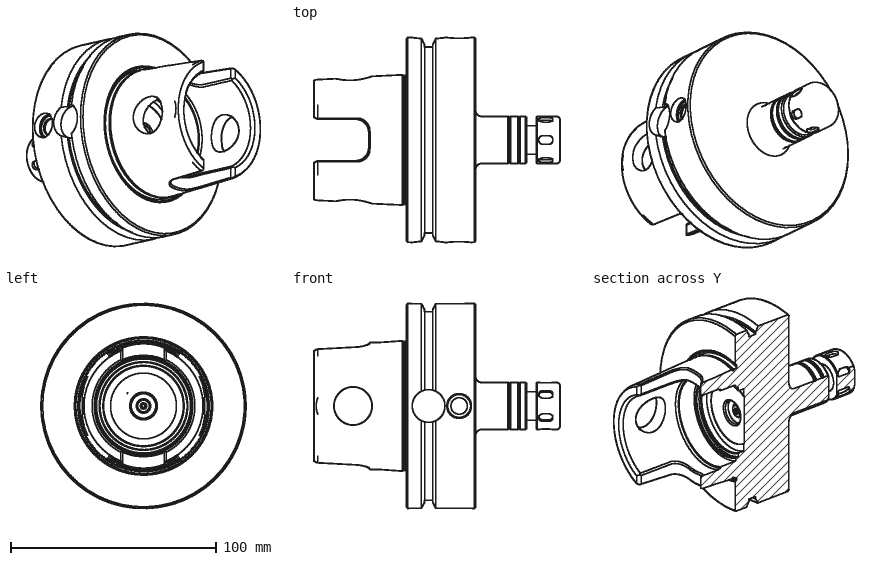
import cadquery as cq
import math

total_length = 120.0
slot_end_x = 26.6
taper_end_x = 43.0
flange_x = 45.0
flange_end_x = 79.0
neck_end_x = 103.8
nut_x = 108.5

taper_radius = 31.8
taper_slope = 1 / 20
tip_allowance = 2.4
tip_chamfer_length = 1.9
tip_chamfer_depth = 0.7
relief_radius = 31.5
taper_relief_length = 0.8
root_groove_radius = 31.1
root_groove_width = 0.5
root_radius = 32.0

flange_radius = 100.0 / 2
flange_chamfer = 0.8
face_recess_radius = 33.0
face_recess_depth = 1.2
face_step_radius = 33.7
face_step_depth = 0.5
groove_center_x = 55.9
groove_floor_width = 4.0
groove_top_width = 7.0
groove_shoulder_radius = 47.2
groove_floor_radius = 46.1

neck_radius = 23.0 / 2
neck_fillet = 3.0
neck_fillet_end_x = 81.8
neck_chamfer = 0.7
stem_radius = 14.0 / 2
nut_fillet = 1.8
nut_back_chamfer = 0.4
ring_groove_starts = (94.5, 99.2)
ring_groove_width = 1.5
ring_groove_depth = 0.2

bore_radius = 24.0
bore_mouth_flare = 1.1
bore_end_x = 34.5
bore_end_ramp = 1.5
bore_end_radius = 23.5
seat_radius = 22.9
seat_end_x = 45.4
inner_seat_radius = 21.2
inner_seat_end_x = 47.0
thread_radius = 19.5
step_chamfer = 0.4
bore_floor_x = 50.4
floor_recess_radius = 16.1
floor_recess_depth = 0.2

port_radius = 6.0
port_chamfer = 0.7
port_depth = 2.4
port_cone_depth = 1.8
nozzle_radius = 7.0 / 2
nozzle_tip_radius = 5.8 / 2
nozzle_height = 1.5
jet_mouth_radius = 3.0 / 2
jet_radius = 1.7 / 2
jet_depth = 4.8

slot_width = 20.0
slot_corner_radius = 6.0
slot_edge_chamfer = 0.7
slot_flare = 1.1

cross_hole_diameter = 18.5
cross_hole_x = 19.1
flat_width = 8.3
pocket_diameter = 16.0
pocket_floor_y = 44.9
side_hole_x = 70.8
side_hole_steps = (
    (12.0, 46.5),
    (11.2, 45.6),
    (8.0, 44.6),
)

wrench_slot_count = 6
wrench_slot_x = 113.0
wrench_slot_length = 7.0
wrench_slot_width = 4.2
wrench_slot_floor_radius = 10.0


def taper_radius_at(x):
    return taper_radius - (taper_end_x - x) * taper_slope


def revolve_about_x(outline):
    """Close an outline drawn in the XY plane and spin it about the X axis."""
    return outline.close().revolve(360, (0, 0, 0), (1, 0, 0))


def make_body():
    arc_angle = math.asin((neck_fillet_end_x - flange_end_x) / neck_fillet)
    arc_center_r = neck_radius + neck_fillet

    def neck_arc_point(angle):
        x = neck_fillet_end_x - neck_fillet * math.sin(angle)
        return x, arc_center_r - neck_fillet * math.cos(angle)

    root_groove_x = taper_end_x + taper_relief_length
    nut_corner = nut_fillet * (1 - math.sqrt(0.5))
    outline = (
        cq.Workplane("XY")
        .moveTo(-tip_allowance, 0)
        .lineTo(-tip_allowance, taper_radius_at(-tip_allowance))
        .lineTo(taper_end_x, taper_radius)
        .lineTo(root_groove_x, relief_radius)
        .lineTo(root_groove_x, root_groove_radius)
        .lineTo(root_groove_x + root_groove_width, root_groove_radius)
        .lineTo(root_groove_x + root_groove_width, relief_radius)
        .lineTo(flange_x + face_recess_depth, root_radius)
        .lineTo(flange_x + face_recess_depth, face_recess_radius)
        .lineTo(flange_x + face_step_depth, face_recess_radius)
        .lineTo(flange_x + face_step_depth, face_step_radius)
        .lineTo(flange_x, face_step_radius)
        .lineTo(flange_x, flange_radius - flange_chamfer)
        .lineTo(flange_x + flange_chamfer, flange_radius)
        .lineTo(groove_center_x - groove_top_width / 2, flange_radius)
        .lineTo(groove_center_x - groove_floor_width / 2, groove_shoulder_radius)
        .lineTo(groove_center_x - groove_floor_width / 2, groove_floor_radius)
        .lineTo(groove_center_x + groove_floor_width / 2, groove_floor_radius)
        .lineTo(groove_center_x + groove_floor_width / 2, groove_shoulder_radius)
        .lineTo(groove_center_x + groove_top_width / 2, flange_radius)
        .lineTo(flange_end_x - flange_chamfer, flange_radius)
        .lineTo(flange_end_x, flange_radius - flange_chamfer)
        .lineTo(*neck_arc_point(arc_angle))
        .threePointArc(neck_arc_point(arc_angle / 2), neck_arc_point(0))
    )
    for start in ring_groove_starts:
        outline = (
            outline.lineTo(start, neck_radius)
            .lineTo(start + ring_groove_width / 2, neck_radius - ring_groove_depth)
            .lineTo(start + ring_groove_width, neck_radius)
        )
    outline = (
        outline.lineTo(neck_end_x - neck_chamfer, neck_radius)
        .lineTo(neck_end_x, neck_radius - neck_chamfer)
        .lineTo(neck_end_x, stem_radius)
        .lineTo(nut_x, stem_radius)
        .lineTo(nut_x, neck_radius - nut_back_chamfer)
        .lineTo(nut_x + nut_back_chamfer, neck_radius)
        .lineTo(total_length - nut_fillet, neck_radius)
        .threePointArc(
            (total_length - nut_corner, neck_radius - nut_corner),
            (total_length, neck_radius - nut_fillet),
        )
        .lineTo(total_length, 0)
    )
    return revolve_about_x(outline)


def make_bore():
    port_x = bore_floor_x + floor_recess_depth
    port_floor_x = port_x + port_depth + port_cone_depth
    nozzle_tip_x = port_floor_x - nozzle_height
    outline = (
        cq.Workplane("XY")
        .moveTo(-tip_allowance, 0)
        .lineTo(-tip_allowance, bore_radius)
        .lineTo(bore_end_x, bore_radius)
        .lineTo(bore_end_x + bore_end_ramp, bore_end_radius)
        .lineTo(bore_end_x + bore_end_ramp, seat_radius)
        .lineTo(seat_end_x, seat_radius)
        .lineTo(seat_end_x, inner_seat_radius + step_chamfer)
        .lineTo(seat_end_x + step_chamfer, inner_seat_radius)
        .lineTo(inner_seat_end_x, inner_seat_radius)
        .lineTo(inner_seat_end_x, thread_radius + step_chamfer)
        .lineTo(inner_seat_end_x + step_chamfer, thread_radius)
        .lineTo(bore_floor_x, thread_radius)
        .lineTo(bore_floor_x, floor_recess_radius)
        .lineTo(port_x, floor_recess_radius)
        .lineTo(port_x, port_radius + port_chamfer)
        .lineTo(port_x + port_chamfer, port_radius)
        .lineTo(port_x + port_depth, port_radius)
        .lineTo(port_floor_x, nozzle_radius)
        .lineTo(nozzle_tip_x + nozzle_radius - nozzle_tip_radius, nozzle_radius)
        .lineTo(nozzle_tip_x, nozzle_tip_radius)
        .lineTo(nozzle_tip_x, jet_mouth_radius)
        .lineTo(nozzle_tip_x + jet_mouth_radius - jet_radius, jet_radius)
        .lineTo(port_floor_x + jet_depth, jet_radius)
        .lineTo(port_floor_x + jet_depth, 0)
    )
    return revolve_about_x(outline)


def make_drive_slots():
    """Slot through both Z sides of the taper, open at its tip."""
    return (
        cq.Workplane("XY")
        .box(2 * slot_end_x, slot_width, 2 * flange_radius)
        .edges("|Z and >X")
        .fillet(slot_corner_radius)
    )


def chamfer_slot_edges(body):
    """Break the long edges where the drive slots meet the taper and its bore."""
    margin = 0.1
    half_width = slot_width / 2 + margin
    window = cq.selectors.BoxSelector(
        (-tip_allowance - margin, -half_width, -flange_radius),
        (slot_end_x + margin, half_width, flange_radius),
        boundingbox=True,
    )
    return body.edges(window).edges("not(|Z)").edges("not(<X)").chamfer(slot_edge_chamfer)


def make_tip_trim():
    """Everything to remove at the tip: the allowance, the rim chamfers and the slot corners."""
    tip_radius = taper_radius_at(tip_chamfer_length)
    allowance = cq.Workplane("YZ").circle(taper_radius).extrude(-tip_allowance)
    outer_chamfer = revolve_about_x(
        cq.Workplane("XY")
        .moveTo(0, tip_radius - tip_chamfer_depth)
        .lineTo(tip_chamfer_length, tip_radius)
        .lineTo(0, tip_radius)
    )
    mouth_chamfer = revolve_about_x(
        cq.Workplane("XY")
        .moveTo(0, 0)
        .lineTo(0, bore_radius + bore_mouth_flare)
        .lineTo(tip_chamfer_length, bore_radius)
        .lineTo(tip_chamfer_length, 0)
    )
    slot_mouth = (
        cq.Workplane("XY")
        .moveTo(0, slot_width / 2 + slot_flare)
        .lineTo(tip_chamfer_length, slot_width / 2)
        .lineTo(tip_chamfer_length, -slot_width / 2)
        .lineTo(0, -slot_width / 2 - slot_flare)
        .close()
        .extrude(taper_radius, both=True)
    )
    return allowance.union(outer_chamfer).union(mouth_chamfer).union(slot_mouth)


def y_cylinder(x, diameter, y_inner, y_outer):
    """Cylinder along +Y between two distances from the axis."""
    return (
        cq.Workplane("XZ", origin=(x, y_inner, 0))
        .circle(diameter / 2)
        .extrude(y_inner - y_outer)
    )


def make_side_cuts():
    """Pocket, stepped hole and flat of the +Y side."""
    pocket = y_cylinder(groove_center_x, pocket_diameter, pocket_floor_y, flange_radius)
    sagitta = flat_width ** 2 / (8 * taper_radius)
    flat = (
        cq.Workplane("XY")
        .moveTo(0, taper_radius_at(0) - sagitta)
        .lineTo(cross_hole_x, taper_radius_at(cross_hole_x) - sagitta)
        .lineTo(cross_hole_x, taper_radius)
        .lineTo(0, taper_radius)
        .close()
        .extrude(flat_width / 2, both=True)
    )
    cuts = pocket.union(flat)
    for diameter, floor_y in side_hole_steps:
        cuts = cuts.union(y_cylinder(side_hole_x, diameter, floor_y, flange_radius))
    return cuts


def make_wrench_slots():
    slots = cq.Workplane("XY")
    for index in range(wrench_slot_count):
        slot = (
            cq.Workplane("XY", origin=(wrench_slot_x, 0, wrench_slot_floor_radius))
            .slot2D(wrench_slot_length, wrench_slot_width)
            .extrude(neck_radius)
            .rotate((0, 0, 0), (1, 0, 0), index * 360 / wrench_slot_count)
        )
        slots = slots.add(slot)
    return slots.combine()


side_cuts = make_side_cuts()
cross_hole = y_cylinder(cross_hole_x, cross_hole_diameter, -flange_radius, flange_radius)

result = (
    chamfer_slot_edges(make_body().cut(make_bore()).cut(make_drive_slots()))
    .cut(make_tip_trim())
    .cut(cross_hole)
    .cut(side_cuts)
    .cut(side_cuts.mirror("XZ"))
    .cut(make_wrench_slots())
)